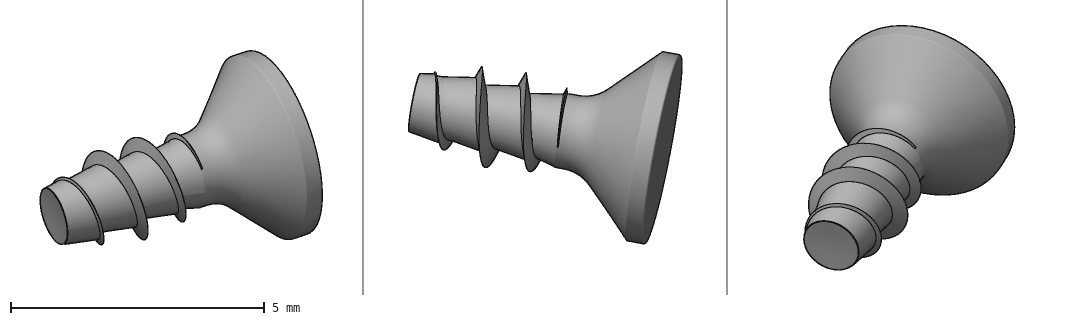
import cadquery as cq
import math

length = 5.0
head_radius = 1.9
rim_height = 0.355
rim_round = 0.035
head_cone_angle = 45
neck_radius = 0.74
neck_fillet = 0.79

neck_base = 2.985
runout_base = 2.475
core_radius = 0.605
core_tip_radius = 0.575
core_tip_height = 0.2
tip_lip = 0.01

dish_radius = 0.54
dish_depth = 0.025

pitch = 0.885
helix_top = 3.33
helix_end = 1340
knot_step = 15

ramp_radius = 0.725
ramp_tip_radius = 0.585
ramp_taper = 0.165
ramp_length = 0.735

thread_start = 180
full_start = 540
full_end = 810
crest_start_radius = 0.85
crest_full_radius = 1.0
crest_end_radius = 0.59
root_radius = 0.575
flank_slope = 0.33

runout_start = 40
runout_height = 3.005
runout_crest_radius = 0.78


def helix_height(angle):
    return helix_top - pitch * angle / 360


def helix_angle(height):
    return 360 * (helix_top - height) / pitch


def spiral_edge(angle_0, point_0, angle_1, point_1):
    """Spiral around Y from one (radius, height) point to another, both changing linearly."""
    steps = math.ceil((angle_1 - angle_0) / knot_step)
    knots = []
    for i in range(steps + 1):
        part = i / steps
        turn = math.radians(angle_0 + part * (angle_1 - angle_0))
        radius = point_0[0] + part * (point_1[0] - point_0[0])
        height = point_0[1] + part * (point_1[1] - point_0[1])
        knots.append(cq.Vector(radius * math.cos(turn), height, radius * math.sin(turn)))
    return cq.Edge.makeSpline(knots)


def end_cap(angle, section):
    turn = math.radians(angle)
    corners = [cq.Vector(r * math.cos(turn), h, r * math.sin(turn)) for r, h in section]
    return cq.Face.makeFromWires(cq.Wire.makePolygon(corners, close=True))


def spiral_solid(stations):
    """Solid through (angle, [(radius, height), ...]) stations, ruled between spiral edges."""
    faces = [end_cap(*stations[0]), end_cap(*stations[-1])]
    for (angle_0, section_0), (angle_1, section_1) in zip(stations, stations[1:]):
        edges = [spiral_edge(angle_0, a, angle_1, b) for a, b in zip(section_0, section_1)]
        for edge, following in zip(edges, edges[1:] + edges[:1]):
            faces.append(cq.Face.makeRuledSurface(edge, following))
    solid = cq.Solid.makeSolid(cq.Shell.makeShell(faces))
    return cq.Workplane(solid.fix())


def make_body():
    cone_angle = math.radians(head_cone_angle)
    rim_base = length - rim_height
    fillet_radius = neck_radius + neck_fillet * (1 - math.cos(cone_angle))
    fillet_top = rim_base - (head_radius - fillet_radius) / math.tan(cone_angle)
    fillet_base = fillet_top - neck_fillet * math.sin(cone_angle)
    fillet_middle = (
        neck_radius + neck_fillet * (1 - math.cos(cone_angle / 2)),
        fillet_base + neck_fillet * math.sin(cone_angle / 2),
    )
    dish_sphere = (dish_radius**2 + dish_depth**2) / (2 * dish_depth)
    dish_half = math.asin(dish_radius / dish_sphere) / 2
    dish_middle = (
        dish_sphere * math.sin(dish_half),
        dish_depth - dish_sphere * (1 - math.cos(dish_half)),
    )
    profile = (
        cq.Workplane("XY")
        .moveTo(0, dish_depth)
        .threePointArc(dish_middle, (dish_radius, 0))
        .lineTo(core_tip_radius, 0)
        .lineTo(core_radius, core_tip_height)
        .lineTo(core_radius, runout_base)
        .lineTo(neck_radius, neck_base)
        .lineTo(neck_radius, fillet_base)
        .threePointArc(fillet_middle, (fillet_radius, fillet_top))
        .lineTo(head_radius, rim_base)
        .lineTo(head_radius, length)
        .lineTo(0, length)
        .close()
    )
    body = profile.revolve(360, (0, 0, 0), (0, 1, 0))
    rim_edges = cq.selectors.BoxSelector(
        (-length, rim_base - rim_round, -length), (length, length + rim_round, length), boundingbox=True
    )
    return body.edges(rim_edges).edges("%CIRCLE").fillet(rim_round)


def thread_section(angle, crest_radius, crest_height):
    """Thread tooth with the core ramp below it, as (radius, height) points."""
    half_width = flank_slope * (crest_radius - root_radius)
    ramp_top = helix_height(angle)
    ramp_bottom = max(ramp_top - ramp_length, tip_lip)
    ramp_top_radius = min(ramp_radius, ramp_tip_radius + ramp_taper * ramp_top)
    ramp_bottom_radius = ramp_top_radius - ramp_taper * (ramp_top - ramp_bottom)
    radius_step = crest_radius - ramp_top_radius + ramp_taper * (ramp_top - crest_height)
    flank_drop = radius_step / (1 / flank_slope - ramp_taper)
    return [
        (root_radius, crest_height + half_width),
        (crest_radius, crest_height),
        (crest_radius - flank_drop / flank_slope, crest_height - flank_drop),
        (ramp_bottom_radius, ramp_bottom),
        (root_radius, ramp_bottom),
    ]


def crest_radius_at(angle):
    if angle < full_start:
        part = (full_start - angle) / (full_start - thread_start)
        return crest_full_radius + part * (crest_start_radius - crest_full_radius)
    part = max(angle - full_end, 0) / (helix_end - full_end)
    return crest_full_radius + part * (crest_end_radius - crest_full_radius)


def make_thread():
    ramp_narrows_at = helix_angle((ramp_radius - ramp_tip_radius) / ramp_taper)
    ramp_reaches_tip = helix_angle(ramp_length + tip_lip)
    turns = (thread_start, full_start, full_end, ramp_narrows_at, ramp_reaches_tip, helix_end)
    runout = thread_section(runout_start, runout_crest_radius, runout_height)
    stations = [(runout_start, runout)]
    for angle in turns:
        stations.append((angle, thread_section(angle, crest_radius_at(angle), helix_height(angle))))
    return spiral_solid(stations)


result = make_body().union(make_thread())